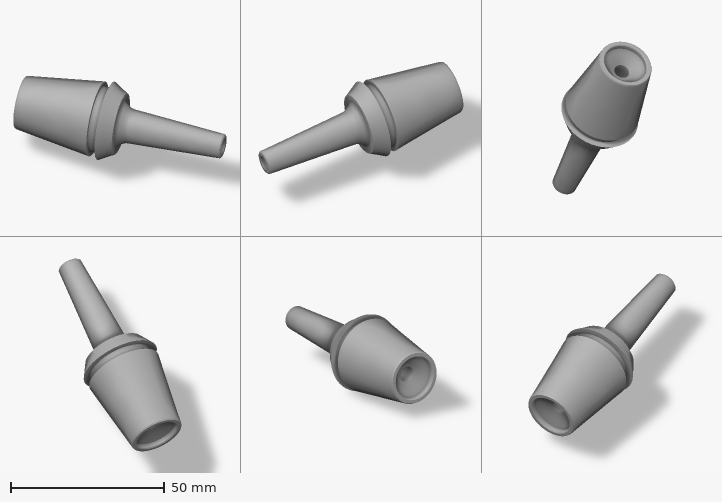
import cadquery as cq
import math

groove_start = 26.0
flange_start = 29.0
flange_end = 34.0
neck_cone_start = 35.0
neck_cone_end = 35.8
stem_start = 37.7
total_length = 69.0

nose_radius = 8.93
head_half_angle = math.radians(8)
nose_chamfer_length = 0.5
nose_chamfer_depth = 0.25
groove_radius = 11.0
flange_radius = 13.115
flange_half_angle = math.radians(30)

neck_root_radius = 7.75
neck_cone_large_radius = 6.75
neck_cone_small_radius = 6.25
stem_large_radius = 5.65
stem_end_radius = 4.05
stem_end_chamfer = 0.4
neck_root_arc_sag = 0.12
neck_stem_arc_sag = 0.13

socket_radius = 7.2
socket_depth = 1.8
socket_chamfer = 0.3
drill_point_half_angle = math.radians(60)
hole_radius = 2.5


def hollow_arc_midpoint(start, end, sag):
    """Midpoint of an arc that dips toward the axis by sag from its chord."""
    run = end[0] - start[0]
    rise = end[1] - start[1]
    chord = math.hypot(run, rise)
    middle_x = (start[0] + end[0]) / 2 + sag * rise / chord
    middle_r = (start[1] + end[1]) / 2 - sag * run / chord
    return (middle_x, middle_r)


def revolve_about_x(profile):
    return profile.close().revolve(360, (0, 0, 0), (1, 0, 0))


def make_body():
    """Tapered head, groove, flange, flared neck and tapered stem in one turn."""
    taper_length = groove_start - nose_chamfer_length
    head_radius = nose_radius + taper_length * math.tan(head_half_angle)
    flange_length = flange_end - flange_start
    flange_small_radius = flange_radius - flange_length * math.tan(flange_half_angle)
    neck_root = (flange_end, neck_root_radius)
    cone_large = (neck_cone_start, neck_cone_large_radius)
    cone_small = (neck_cone_end, neck_cone_small_radius)
    stem_root = (stem_start, stem_large_radius)
    profile = (
        cq.Workplane("XY")
        .moveTo(0, 0)
        .lineTo(0, nose_radius - nose_chamfer_depth)
        .lineTo(nose_chamfer_length, nose_radius)
        .lineTo(groove_start, head_radius)
        .lineTo(groove_start, groove_radius)
        .lineTo(flange_start, groove_radius)
        .lineTo(flange_start, flange_radius)
        .lineTo(flange_end, flange_small_radius)
        .lineTo(*neck_root)
        .threePointArc(hollow_arc_midpoint(neck_root, cone_large, neck_root_arc_sag), cone_large)
        .lineTo(*cone_small)
        .threePointArc(hollow_arc_midpoint(cone_small, stem_root, neck_stem_arc_sag), stem_root)
        .lineTo(total_length - stem_end_chamfer, stem_end_radius)
        .lineTo(total_length, stem_end_radius - stem_end_chamfer)
        .lineTo(total_length, 0)
    )
    return revolve_about_x(profile)


def make_bore():
    """Chamfered socket, conical floor and through hole as one cutter."""
    point_length = (socket_radius - hole_radius) / math.tan(drill_point_half_angle)
    profile = (
        cq.Workplane("XY")
        .moveTo(0, 0)
        .lineTo(0, socket_radius + socket_chamfer)
        .lineTo(socket_chamfer, socket_radius)
        .lineTo(socket_depth, socket_radius)
        .lineTo(socket_depth + point_length, hole_radius)
        .lineTo(total_length, hole_radius)
        .lineTo(total_length, 0)
    )
    return revolve_about_x(profile)


result = make_body().cut(make_bore())